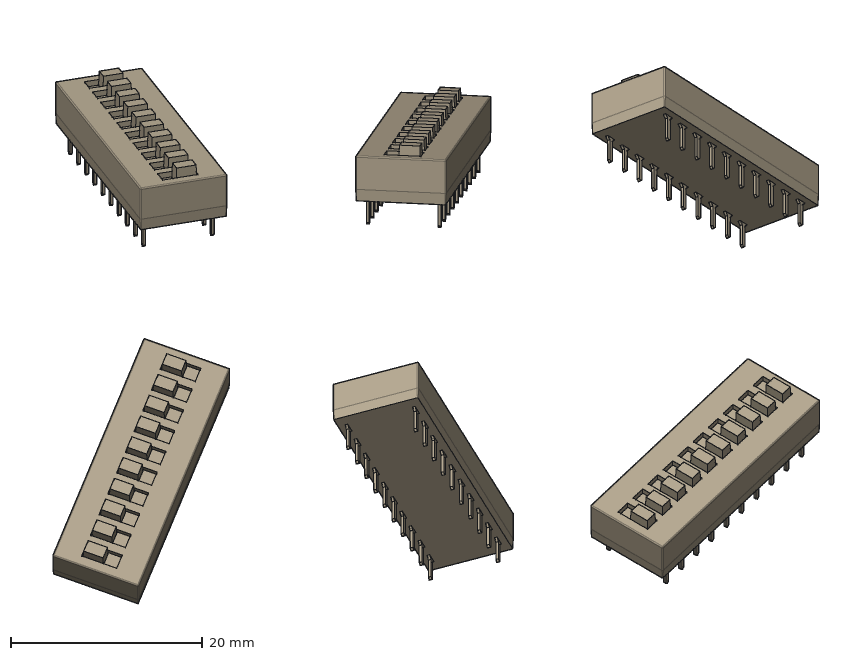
import cadquery as cq
import math


length = 26.63
width = 9.65
base_height = 1.27
cover_top = 4.88
edge_radius = 0.13
base_draft_inset = 0.07
base_draft_angle = math.degrees(math.atan(base_draft_inset / base_height))

position_count = 10
pitch = 2.54
position_xs = [(i - (position_count - 1) / 2) * pitch for i in range(position_count)]

slot_width = 1.61
slot_length = 3.93
slot_depth = 0.65
slot_floor = cover_top - slot_depth

actuator_top = 5.94
actuator_height = actuator_top - slot_floor
actuator_width = 1.29
actuator_back = 1.80
actuator_front = -0.37
actuator_draft_angle = 2.0
actuator_draft = math.tan(math.radians(actuator_draft_angle)) * actuator_height

pin_row_spacing = 7.62
pin_length = 2.94
pin_width = 0.48
pin_thickness = 0.30
shoulder_width = 1.20
shoulder_height = (shoulder_width - pin_width) / 2
tip_height = pin_width / 2


def make_base():
    """Lower housing, narrowing toward the underside."""
    return (
        cq.Workplane("XY")
        .workplane(offset=base_height)
        .sketch()
        .rect(length, width)
        .vertices()
        .fillet(edge_radius)
        .finalize()
        .extrude(-base_height, taper=base_draft_angle)
    )


def make_cover():
    """Upper housing with rounded vertical and top edges."""
    return (
        cq.Workplane("XY")
        .workplane(offset=base_height)
        .rect(length, width)
        .extrude(cover_top - base_height)
        .edges("|Z or >Z")
        .fillet(edge_radius)
    )


def make_slots():
    """Cutting bodies for the row of actuator slots."""
    return (
        cq.Workplane("XY")
        .workplane(offset=slot_floor)
        .pushPoints([(x, 0) for x in position_xs])
        .rect(slot_width, slot_length)
        .extrude(slot_depth)
    )


def make_actuator(x):
    """Actuator standing on its slot floor, pushed to the +Y end of the slot."""
    top_length = actuator_back - actuator_front
    foot_width = actuator_width + 2 * actuator_draft
    foot_length = top_length + 2 * actuator_draft
    return (
        cq.Workplane("XY", origin=(x, (actuator_back + actuator_front) / 2, slot_floor))
        .rect(foot_width, foot_length)
        .workplane(offset=actuator_height)
        .rect(actuator_width, top_length)
        .loft(ruled=True)
    )


def make_pin(x, y):
    """Flat pin with a tapered shoulder under the housing and a pointed tip."""
    half_width = pin_width / 2
    half_shoulder = shoulder_width / 2
    return (
        cq.Workplane("XZ", origin=(x, y + pin_thickness / 2, 0))
        .moveTo(-half_shoulder, 0)
        .lineTo(half_shoulder, 0)
        .lineTo(half_width, -shoulder_height)
        .lineTo(half_width, tip_height - pin_length)
        .lineTo(0, -pin_length)
        .lineTo(-half_width, tip_height - pin_length)
        .lineTo(-half_width, -shoulder_height)
        .close()
        .extrude(pin_thickness)
    )


result = make_base().union(make_cover()).cut(make_slots())
for position_x in position_xs:
    result = result.union(make_actuator(position_x))
    for row_side in (-1, 1):
        result = result.union(make_pin(position_x, row_side * pin_row_spacing / 2))